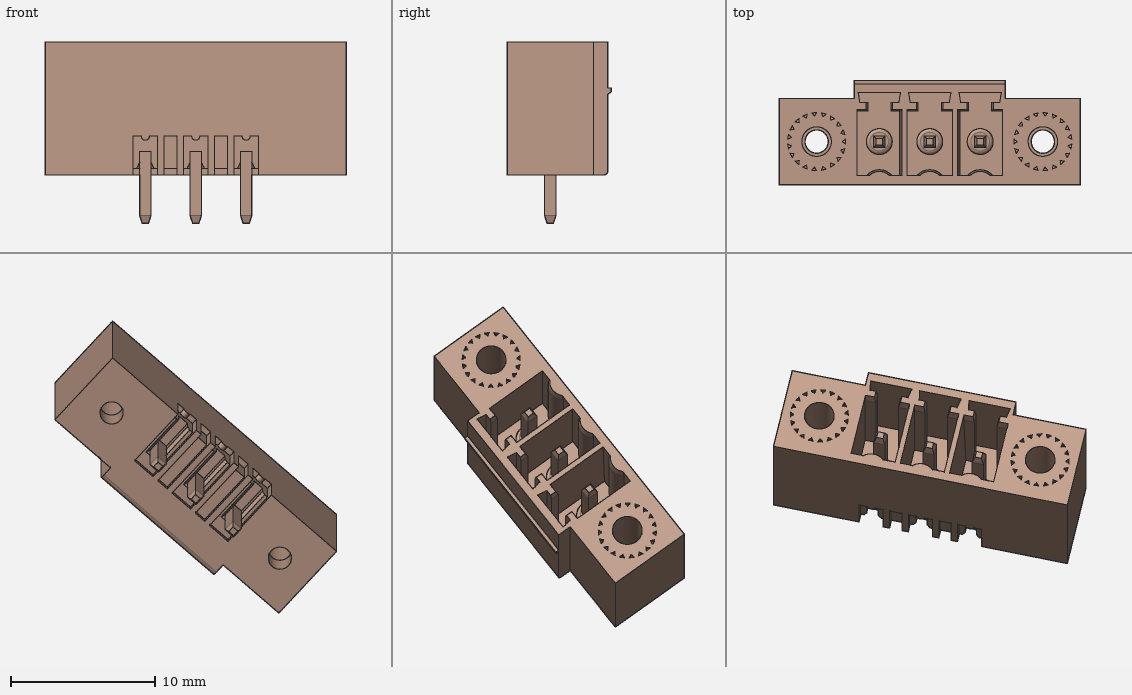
import cadquery as cq
import math

BODY_LENGTH = 20.9
BODY_DEPTH = 6.0
BODY_HEIGHT = 9.25
BACK_LENGTH = 10.5
BACK_Y = 7.0
BACK_FILLET = 0.3

RIDGE_TOP = 6.05
RIDGE_HEIGHT = 0.45
RIDGE_LIP = 0.25
RIDGE_Y = 7.25

PITCH = 3.5
CONTACT_XS = (-PITCH, 0, PITCH)
CONTACT_Y = 3.0

CHAMBER_FLOOR = 2.4
CHAMBER_HALF_WIDTH = 1.565
CHAMBER_FRONT = 0.65
KEY_FRONT = 5.12
KEY_BACK = 5.7
NECK_HALF_WIDTH = 0.8
HEAD_BACK = 6.4
HEAD_HALF_WIDTH_FRONT = 1.35
HEAD_HALF_WIDTH_BACK = 1.47
BULGE_RADIUS = 1.12
BULGE_CENTRE_Y = -0.07
LEAD_IN = 0.12
LEAD_IN_HEIGHT = 0.6
WALL_DRAFT = 0.16

PIN_WIDTH = 0.8
PIN_TIP_WIDTH = 0.45
PIN_TAPER = 0.55
PIN_BOTTOM = -3.35
PIN_TOP = BODY_HEIGHT - 1.15
COLLAR_DIAMETER = 1.8
COLLAR_HEIGHT = 0.5
COLLAR_FILLET = 0.25

SLOT_TOP = 2.7
SLOT_DEPTH = 0.4
PIN_SLOT_WIDTH = 1.72
PIN_SLOT_BUMP_RADIUS = 0.28
RIB_SLOT_WIDTH = 0.88
CHANNEL_HEIGHT = 0.47
CHANNEL_BACK = 4.5
WINDOW_TOP = 1.65
FUNNEL_HEIGHT = 0.4
FUNNEL_FLARE = 0.2

SCREW_X = 7.85
SCREW_Y = 3.0
SCREW_BORE_DIAMETER = 2.05
SCREW_BORE_DEPTH = 7.0
SCREW_HOLE_DIAMETER = 1.6
MARK_COUNT = 19
MARK_TIP_RADIUS = 1.78
MARK_BASE_RADIUS = 2.01
MARK_HALF_WIDTH = 0.17
MARK_DEPTH = 0.3


def block(x_min, x_max, y_min, y_max, z_min, z_max):
    """Box between the given limits."""
    size = (x_max - x_min, y_max - y_min, z_max - z_min)
    return cq.Workplane("XY").box(*size, centered=False).translate((x_min, y_min, z_min))


def slot_block(x, width, y_min, y_max, z_min, z_max):
    """Box of the given width centred on x."""
    return block(x - width / 2, x + width / 2, y_min, y_max, z_min, z_max)


def square_frustum(x, z_start, width_start, z_end, width_end):
    """Square taper around the pin axis at x."""
    return (
        cq.Workplane("XY", origin=(x, CONTACT_Y, z_start))
        .rect(width_start, width_start)
        .workplane(offset=z_end - z_start)
        .rect(width_end, width_end)
        .loft(combine=True)
    )


def housing():
    """Solid housing with its raised back and latch ridge."""
    main = slot_block(0, BODY_LENGTH, 0, BODY_DEPTH, 0, BODY_HEIGHT)
    back = slot_block(0, BACK_LENGTH, CONTACT_Y, BACK_Y, 0, BODY_HEIGHT)
    back = back.faces(">Y").edges("<Z").fillet(BACK_FILLET)
    ridge = (
        cq.Workplane("YZ", origin=(-BACK_LENGTH / 2, 0, 0))
        .moveTo(BODY_DEPTH, RIDGE_TOP)
        .lineTo(RIDGE_Y, RIDGE_TOP)
        .lineTo(RIDGE_Y, RIDGE_TOP - RIDGE_LIP)
        .lineTo(BACK_Y, RIDGE_TOP - RIDGE_HEIGHT)
        .lineTo(BODY_DEPTH, RIDGE_TOP - RIDGE_HEIGHT)
        .close()
        .extrude(BACK_LENGTH)
    )
    return main.union(back).union(ridge)


def chamber_outline(plane, widening):
    """Keyed chamber outline; widening pulls back the key tabs and the front bulge."""
    neck = NECK_HALF_WIDTH + widening
    key_front = KEY_FRONT + widening
    radius = BULGE_RADIUS - widening
    bulge_half = math.sqrt(radius**2 - (CHAMBER_FRONT - BULGE_CENTRE_Y) ** 2)
    return (
        plane.moveTo(-CHAMBER_HALF_WIDTH, CHAMBER_FRONT)
        .lineTo(-bulge_half, CHAMBER_FRONT)
        .threePointArc((0, BULGE_CENTRE_Y + radius), (bulge_half, CHAMBER_FRONT))
        .lineTo(CHAMBER_HALF_WIDTH, CHAMBER_FRONT)
        .lineTo(CHAMBER_HALF_WIDTH, key_front)
        .lineTo(neck, key_front)
        .lineTo(neck, KEY_BACK)
        .lineTo(HEAD_HALF_WIDTH_FRONT, KEY_BACK)
        .lineTo(HEAD_HALF_WIDTH_BACK, HEAD_BACK)
        .lineTo(-HEAD_HALF_WIDTH_BACK, HEAD_BACK)
        .lineTo(-HEAD_HALF_WIDTH_FRONT, KEY_BACK)
        .lineTo(-neck, KEY_BACK)
        .lineTo(-neck, key_front)
        .lineTo(-CHAMBER_HALF_WIDTH, key_front)
        .close()
    )


def chamber(x):
    """Straight chamber with a widened mouth."""
    mouth_z = BODY_HEIGHT - LEAD_IN_HEIGHT
    shaft_plane = cq.Workplane("XY", origin=(x, 0, CHAMBER_FLOOR))
    shaft = chamber_outline(shaft_plane, 0).extrude(mouth_z - CHAMBER_FLOOR)
    lower = chamber_outline(cq.Workplane("XY", origin=(x, 0, mouth_z)), 0)
    mouth = chamber_outline(lower.workplane(offset=LEAD_IN_HEIGHT), LEAD_IN).loft(ruled=True)
    return shaft.union(mouth)


def wall_draft(side):
    """Wedge on one partition wall, in the outer chamber, thickest at the floor."""
    wall_x = side * (PITCH - CHAMBER_HALF_WIDTH)
    return (
        cq.Workplane("XZ", origin=(0, CHAMBER_FRONT, 0))
        .moveTo(wall_x, CHAMBER_FLOOR)
        .lineTo(wall_x + side * WALL_DRAFT, CHAMBER_FLOOR)
        .lineTo(wall_x, BODY_HEIGHT)
        .close()
        .extrude(CHAMBER_FRONT - KEY_FRONT)
    )


def pin_slot(x):
    """Front slot, channel, flared window and funnel that expose one pin."""
    slot = slot_block(x, PIN_SLOT_WIDTH, 0, SLOT_DEPTH, 0, SLOT_TOP)
    bump = (
        cq.Workplane("XZ", origin=(x, 0, SLOT_TOP))
        .circle(PIN_SLOT_BUMP_RADIUS)
        .extrude(-SLOT_DEPTH)
    )
    channel = slot_block(x, PIN_SLOT_WIDTH, 0, CHANNEL_BACK, 0, CHANNEL_HEIGHT)
    window = slot_block(x, PIN_WIDTH, 0, CONTACT_Y, 0, WINDOW_TOP)
    funnel_top = CHANNEL_HEIGHT + FUNNEL_HEIGHT
    funnel_width = PIN_WIDTH + 2 * FUNNEL_FLARE
    funnel = square_frustum(x, CHANNEL_HEIGHT, funnel_width, funnel_top, PIN_WIDTH)
    flare = (
        cq.Workplane("XZ", origin=(x, 0, 0))
        .moveTo(-funnel_width / 2, CHANNEL_HEIGHT)
        .lineTo(funnel_width / 2, CHANNEL_HEIGHT)
        .lineTo(PIN_WIDTH / 2, funnel_top)
        .lineTo(-PIN_WIDTH / 2, funnel_top)
        .close()
        .extrude(-CONTACT_Y)
    )
    return slot.cut(bump).union(channel).union(window).union(flare).union(funnel)


def rib_slot(x):
    """Front slot and channel between two pin slots."""
    slot = slot_block(x, RIB_SLOT_WIDTH, 0, SLOT_DEPTH, 0, SLOT_TOP)
    channel = slot_block(x, RIB_SLOT_WIDTH, 0, CHANNEL_BACK, 0, CHANNEL_HEIGHT)
    return slot.union(channel)


def pin(x):
    """Square pin with tapered ends and a rounded collar on the chamber floor."""
    shank_bottom = PIN_BOTTOM + PIN_TAPER
    shank_top = PIN_TOP - PIN_TAPER
    half = PIN_WIDTH / 2
    shank = slot_block(x, PIN_WIDTH, CONTACT_Y - half, CONTACT_Y + half, shank_bottom, shank_top)
    lower_tip = square_frustum(x, shank_bottom, PIN_WIDTH, PIN_BOTTOM, PIN_TIP_WIDTH)
    upper_tip = square_frustum(x, shank_top, PIN_WIDTH, PIN_TOP, PIN_TIP_WIDTH)
    collar = (
        cq.Workplane("XY", origin=(x, CONTACT_Y, CHAMBER_FLOOR))
        .circle(COLLAR_DIAMETER / 2)
        .extrude(COLLAR_HEIGHT)
        .faces(">Z")
        .edges()
        .fillet(COLLAR_FILLET)
    )
    return shank.union(lower_tip).union(upper_tip).union(collar)


def screw_hole(x):
    """Through hole with a wider bore from the top."""
    top = cq.Workplane("XY", origin=(x, SCREW_Y, BODY_HEIGHT))
    bore = top.circle(SCREW_BORE_DIAMETER / 2).extrude(-SCREW_BORE_DEPTH)
    hole = top.circle(SCREW_HOLE_DIAMETER / 2).extrude(-BODY_HEIGHT)
    return bore.union(hole)


def mark_ring(side):
    """Ring of triangular pits on one flange; one pit lies on the side facing the chambers."""
    first_angle = 90 + 90 * side
    mark = (
        cq.Workplane("XY", origin=(0, 0, BODY_HEIGHT))
        .moveTo(MARK_TIP_RADIUS, 0)
        .lineTo(MARK_BASE_RADIUS, MARK_HALF_WIDTH)
        .lineTo(MARK_BASE_RADIUS, -MARK_HALF_WIDTH)
        .close()
        .extrude(-MARK_DEPTH)
    )
    ring = cq.Workplane("XY")
    for index in range(MARK_COUNT):
        ring.add(mark.rotate((0, 0, 0), (0, 0, 1), first_angle + index * 360 / MARK_COUNT))
    return ring.combine().translate((side * SCREW_X, SCREW_Y, 0))


result = housing()
for contact_x in CONTACT_XS:
    result = result.cut(chamber(contact_x)).cut(pin_slot(contact_x))
for side in (-1, 1):
    result = result.union(wall_draft(side))
    result = result.cut(rib_slot(side * PITCH / 2))
    result = result.cut(screw_hole(side * SCREW_X)).cut(mark_ring(side))
for contact_x in CONTACT_XS:
    result = result.union(pin(contact_x))